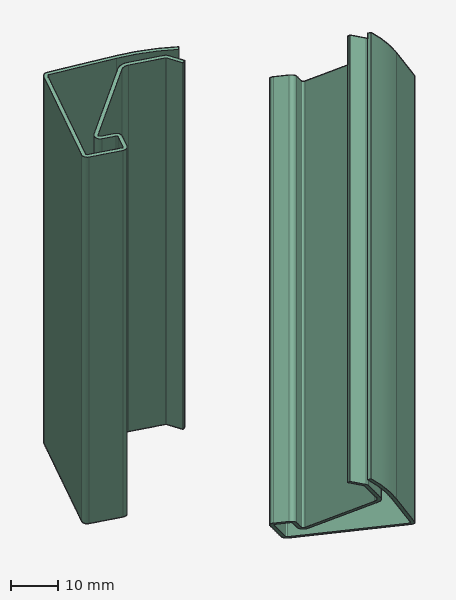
import cadquery as cq
import math

length = 100.0
width = 30.9
depth = 30.2
wall = 0.9
half_wall = wall / 2

front_y = half_wall
side_x = width - half_wall
front_left_x = 1.7
curve_start = (0.6, 16.5)
curve_end_y = depth - 0.1
curve_end_x = 1.6
hook_top_y = 9.6
hook_inner_x = 25.4
web_angle = 30.0
upright_x = 3.5
web_top_y = 16.8
lip_bend_y = 26.7
lip_angle = 48.0
lip_tip_y = 29.8

bend_radius = 0.8
web_foot_radius = 0.9
web_top_radius = 2.5


def bend(before, corner, after, radius):
    """Start, middle and end of an arc that rounds a corner."""
    origin = cq.Vector(*corner)
    toward_before = (cq.Vector(*before) - origin).normalized()
    toward_after = (cq.Vector(*after) - origin).normalized()
    half_angle = toward_before.getAngle(toward_after) / 2
    setback = radius / math.tan(half_angle)
    apex_gap = radius / math.sin(half_angle) - radius
    bisector = (toward_before + toward_after).normalized()
    start = origin + toward_before * setback
    middle = origin + bisector * apex_gap
    end = origin + toward_after * setback
    return start.toTuple()[:2], middle.toTuple()[:2], end.toTuple()[:2]


web_drop = (hook_inner_x - upright_x) * math.tan(math.radians(web_angle))
lip_run = (lip_tip_y - lip_bend_y) / math.tan(math.radians(lip_angle))
lip_tip = (upright_x + lip_run, lip_tip_y)
bends = [
    ((upright_x, lip_bend_y), bend_radius),
    ((upright_x, web_top_y), web_top_radius),
    ((hook_inner_x, web_top_y - web_drop), web_foot_radius),
    ((hook_inner_x, hook_top_y), bend_radius),
    ((side_x, hook_top_y), bend_radius),
    ((side_x, front_y), bend_radius),
    ((front_left_x, front_y), bend_radius),
]
corners = [lip_tip] + [corner for corner, _ in bends] + [curve_start]

path = cq.Workplane("XY").moveTo(*lip_tip)
for index, (corner, radius) in enumerate(bends):
    start, middle, end = bend(corners[index], corner, corners[index + 2], radius)
    path = path.lineTo(*start).threePointArc(middle, end)
path = path.lineTo(*curve_start).tangentArcPoint((curve_end_x, curve_end_y), relative=False)

lip_direction = cq.Vector(-lip_run, lip_bend_y - lip_tip_y, 0)
section_plane = cq.Plane(origin=(*lip_tip, 0), xDir=(0, 0, 1), normal=lip_direction)
section = cq.Workplane(section_plane).center(length / 2, 0).rect(length, wall)
result = section.sweep(path)